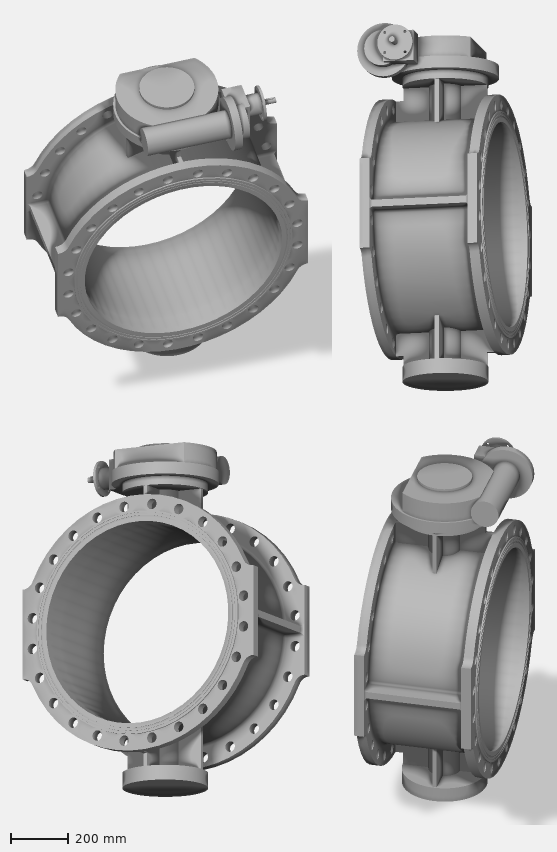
import cadquery as cq
import math

BORE_DIA = 718
BODY_DIA = 750
FLANGE_DIA = 910
RAISED_DIA = 794
FACE_TO_FACE = 430
RAISED_HEIGHT = 5
FLANGE_THICKNESS = 35
INNER_FILLET = 10

LUG_HALF_HEIGHT = 160
LUG_FILLET = 40

BOLT_COUNT = 24
BOLT_CIRCLE_DIA = 840
BOLT_HOLE_DIA = 37

SIDE_RIB_THICKNESS = 25
SIDE_RIB_REACH = 444

GROOVE_COUNT = 2
GROOVE_WIDTH = 5.5
GROOVE_DEPTH = 2
GROOVE_PITCH = 11
FIRST_GROOVE_RADIUS = 375

SHAFT_OFFSET_Y = 3
NECK_DIA = 115
NECK_RIB_THICKNESS = 15
NECK_RIB_WIDTH_X = 298
NECK_RIB_WIDTH_Y = 289
PLATE_DIA = 300
PLATE_LEVEL = 500
TOP_PLATE_THICKNESS = 30
BOTTOM_COVER_THICKNESS = 52.48

GEAR_DISC_DIA = 375
GEAR_DISC_THICKNESS = 43
GEAR_CASE_DIA = 360
GEAR_CASE_HEIGHT = 73
GEAR_CASE_LEFT = -118
GEAR_CASE_RIGHT = 152
CAP_DIA = 192.5
CAP_HEIGHT = 11

WORM_X = 177.8
WORM_Z = 600
WORM_DIA = 100
WORM_START_Y = -132
WORM_FLANGE_DIA = 190
WORM_FLANGE_START_Y = 172
WORM_FLANGE_END_Y = 200
WORM_COVER_DIA = 125
WORM_COVER_END_Y = 235

INPUT_OFFSET = 64
INPUT_BOX_SIDE = 108
INPUT_BOX_START_Y = 184
INPUT_BOX_END_Y = 257
INPUT_NECK_DIA = 77
INPUT_FLANGE_DIA = 125
INPUT_FLANGE_START_Y = 306
INPUT_FLANGE_END_Y = 315
INPUT_BOLT_CIRCLE_DIA = 102
INPUT_BOLT_COUNT = 4
INPUT_BOLT_HOLE_DIA = 10.5
INPUT_SHAFT_DIA = 20
INPUT_SHAFT_END_Y = 365
KEY_WIDTH = 6
KEY_PROTRUSION = 3
KEY_LENGTH = 40
KEY_END_GAP = 7

RAISED_FACE_X = FACE_TO_FACE / 2
FLANGE_OUTER_X = RAISED_FACE_X - RAISED_HEIGHT
FLANGE_INNER_X = FLANGE_OUTER_X - FLANGE_THICKNESS
BODY_RADIUS = BODY_DIA / 2
FLANGE_RADIUS = FLANGE_DIA / 2
GEAR_DISC_LEVEL = PLATE_LEVEL + TOP_PLATE_THICKNESS
GEAR_CASE_LEVEL = GEAR_DISC_LEVEL + GEAR_DISC_THICKNESS
CAP_LEVEL = GEAR_CASE_LEVEL + GEAR_CASE_HEIGHT
INPUT_X = WORM_X - INPUT_OFFSET

EDGE_TOLERANCE = 0.5


def cylinder_x(diameter, start, end):
    return cq.Workplane("YZ", origin=(start, 0, 0)).circle(diameter / 2).extrude(end - start)


def cylinder_y(diameter, x, z, start, end):
    return cq.Workplane("XZ", origin=(x, start, z)).circle(diameter / 2).extrude(start - end)


def shaft_cylinder(diameter, start, end):
    """Upright cylinder on the shaft axis."""
    return cq.Workplane("XY", origin=(0, SHAFT_OFFSET_Y, start)).circle(diameter / 2).extrude(end - start)


def block(x_range, y_range, z_range):
    size = [high - low for low, high in (x_range, y_range, z_range)]
    corner = (x_range[0], y_range[0], z_range[0])
    return cq.Workplane("XY").box(*size, centered=False).translate(corner)


def flange(start):
    """Round flange with a square lug on each side, blended into the rim."""
    disc = cylinder_x(FLANGE_DIA, start, start + FLANGE_THICKNESS)
    blend_z = LUG_HALF_HEIGHT + LUG_FILLET
    centre_distance = FLANGE_RADIUS + LUG_FILLET
    blend_y = math.sqrt(centre_distance**2 - blend_z**2)
    rim_scale = FLANGE_RADIUS / centre_distance
    rim_angle = math.atan2(blend_z, blend_y) + math.pi
    lug_angle = math.radians(270)
    middle_angle = (rim_angle + lug_angle) / 2
    middle_y = blend_y + LUG_FILLET * math.cos(middle_angle)
    middle_z = blend_z + LUG_FILLET * math.sin(middle_angle)
    rim_y = blend_y * rim_scale
    rim_z = blend_z * rim_scale
    for side in (1, -1):
        lug = (
            cq.Workplane("YZ", origin=(start, 0, 0))
            .moveTo(side * rim_y, -rim_z)
            .threePointArc((side * middle_y, -middle_z), (side * blend_y, -LUG_HALF_HEIGHT))
            .lineTo(side * FLANGE_RADIUS, -LUG_HALF_HEIGHT)
            .lineTo(side * FLANGE_RADIUS, LUG_HALF_HEIGHT)
            .lineTo(side * blend_y, LUG_HALF_HEIGHT)
            .threePointArc((side * middle_y, middle_z), (side * rim_y, rim_z))
            .close()
            .extrude(FLANGE_THICKNESS)
        )
        disc = disc.union(lug)
    return disc


def is_inner_corner(edge):
    """Concave edges where the body, flanges and side ribs meet."""
    points = [edge.positionAt(t) for t in (0, 0.5, 1)]
    largest_radius = max(math.hypot(p.y, p.z) for p in points)
    at_flange = all(abs(abs(p.x) - FLANGE_INNER_X) < EDGE_TOLERANCE for p in points)
    runs_along_x = abs(points[0].x - points[-1].x) > FLANGE_INNER_X
    at_rib_root = runs_along_x and largest_radius < BODY_RADIUS + EDGE_TOLERANCE
    inside_rim = largest_radius < FLANGE_RADIUS - EDGE_TOLERANCE
    return at_rib_root or (at_flange and inside_rim)


def valve_shell():
    """Solid body barrel with flanges, side ribs, inner fillets and raised faces."""
    shell = cylinder_x(BODY_DIA, -FLANGE_OUTER_X, FLANGE_OUTER_X)
    shell = shell.union(flange(-FLANGE_OUTER_X)).union(flange(FLANGE_INNER_X))
    inner_span = (-FLANGE_INNER_X, FLANGE_INNER_X)
    half_rib = SIDE_RIB_THICKNESS / 2
    shell = shell.union(block(inner_span, (-SIDE_RIB_REACH, SIDE_RIB_REACH), (-half_rib, half_rib)))
    corners = [edge for edge in shell.edges().vals() if is_inner_corner(edge)]
    shell = shell.newObject(corners).fillet(INNER_FILLET)
    for start in (-RAISED_FACE_X, FLANGE_OUTER_X):
        shell = shell.union(cylinder_x(RAISED_DIA, start, start + RAISED_HEIGHT))
    return shell


def neck(direction):
    """Round neck with cross ribs; direction is 1 above the body, -1 below."""
    end = direction * PLATE_LEVEL
    z_range = (min(0, end), max(0, end))
    half_rib = NECK_RIB_THICKNESS / 2
    half_x = NECK_RIB_WIDTH_X / 2
    half_y = NECK_RIB_WIDTH_Y / 2
    y_range = (SHAFT_OFFSET_Y - half_y, SHAFT_OFFSET_Y + half_y)
    thickness_range = (SHAFT_OFFSET_Y - half_rib, SHAFT_OFFSET_Y + half_rib)
    rim = direction * FLANGE_RADIUS
    low_range = (min(0, rim), max(0, rim))
    return (
        shaft_cylinder(NECK_DIA, *z_range)
        .union(block((-half_x, half_x), thickness_range, z_range))
        .union(block((-half_rib, half_rib), y_range, z_range))
        .union(block((-FLANGE_INNER_X, FLANGE_INNER_X), thickness_range, low_range))
    )


def bolt_holes():
    first_angle = 180 / BOLT_COUNT
    return (
        cq.Workplane("YZ", origin=(-FLANGE_OUTER_X, 0, 0))
        .polarArray(BOLT_CIRCLE_DIA / 2, first_angle, 360, BOLT_COUNT)
        .circle(BOLT_HOLE_DIA / 2)
        .extrude(FLANGE_THICKNESS)
    )


def cut_face_grooves(body, start):
    """Concentric ring grooves in the raised face, from start in +X."""
    for index in range(GROOVE_COUNT):
        inner = FIRST_GROOVE_RADIUS + index * GROOVE_PITCH
        ring = cq.Workplane("YZ", origin=(start, 0, 0)).circle(inner + GROOVE_WIDTH).circle(inner)
        body = body.cut(ring.extrude(GROOVE_DEPTH))
    return body


def gearbox():
    half_case = GEAR_CASE_DIA / 2
    case = shaft_cylinder(GEAR_CASE_DIA, GEAR_CASE_LEVEL, CAP_LEVEL).intersect(
        block(
            (GEAR_CASE_LEFT, GEAR_CASE_RIGHT),
            (SHAFT_OFFSET_Y - half_case, SHAFT_OFFSET_Y + half_case),
            (GEAR_CASE_LEVEL, CAP_LEVEL),
        )
    )
    return (
        shaft_cylinder(PLATE_DIA, PLATE_LEVEL, GEAR_DISC_LEVEL)
        .union(shaft_cylinder(GEAR_DISC_DIA, GEAR_DISC_LEVEL, GEAR_CASE_LEVEL))
        .union(case)
        .union(shaft_cylinder(CAP_DIA, CAP_LEVEL, CAP_LEVEL + CAP_HEIGHT))
    )


def worm_housing():
    return (
        cylinder_y(WORM_DIA, WORM_X, WORM_Z, WORM_START_Y, WORM_FLANGE_END_Y)
        .union(cylinder_y(WORM_FLANGE_DIA, WORM_X, WORM_Z, WORM_FLANGE_START_Y, WORM_FLANGE_END_Y))
        .union(cylinder_y(WORM_COVER_DIA, WORM_X, WORM_Z, WORM_FLANGE_END_Y, WORM_COVER_END_Y))
    )


def input_stage():
    half_box = INPUT_BOX_SIDE / 2
    box = block(
        (INPUT_X - half_box, INPUT_X + half_box),
        (INPUT_BOX_START_Y, INPUT_BOX_END_Y),
        (WORM_Z - half_box, WORM_Z + half_box),
    )
    mounting_flange = cylinder_y(
        INPUT_FLANGE_DIA, INPUT_X, WORM_Z, INPUT_FLANGE_START_Y, INPUT_FLANGE_END_Y
    ).cut(
        cq.Workplane("XZ", origin=(INPUT_X, INPUT_FLANGE_START_Y, WORM_Z))
        .polarArray(INPUT_BOLT_CIRCLE_DIA / 2, 180 / INPUT_BOLT_COUNT, 360, INPUT_BOLT_COUNT)
        .circle(INPUT_BOLT_HOLE_DIA / 2)
        .extrude(INPUT_FLANGE_START_Y - INPUT_FLANGE_END_Y)
    )
    key_end = INPUT_SHAFT_END_Y - KEY_END_GAP
    key = block(
        (INPUT_X - KEY_WIDTH / 2, INPUT_X + KEY_WIDTH / 2),
        (key_end - KEY_LENGTH, key_end),
        (WORM_Z, WORM_Z + INPUT_SHAFT_DIA / 2 + KEY_PROTRUSION),
    )
    return (
        box.union(cylinder_y(INPUT_NECK_DIA, INPUT_X, WORM_Z, INPUT_BOX_END_Y, INPUT_FLANGE_START_Y))
        .union(mounting_flange)
        .union(cylinder_y(INPUT_SHAFT_DIA, INPUT_X, WORM_Z, INPUT_FLANGE_START_Y, INPUT_SHAFT_END_Y))
        .union(key)
    )


lower_cover_end = -PLATE_LEVEL - BOTTOM_COVER_THICKNESS
valve = valve_shell().union(neck(1)).union(neck(-1))
valve = valve.union(shaft_cylinder(PLATE_DIA, lower_cover_end, -PLATE_LEVEL))
valve = valve.cut(cylinder_x(BORE_DIA, -RAISED_FACE_X, RAISED_FACE_X))
valve = valve.cut(bolt_holes()).cut(bolt_holes().translate((FLANGE_OUTER_X + FLANGE_INNER_X, 0, 0)))
for groove_start in (-RAISED_FACE_X, RAISED_FACE_X - GROOVE_DEPTH):
    valve = cut_face_grooves(valve, groove_start)

result = valve.union(gearbox()).union(worm_housing()).union(input_stage())